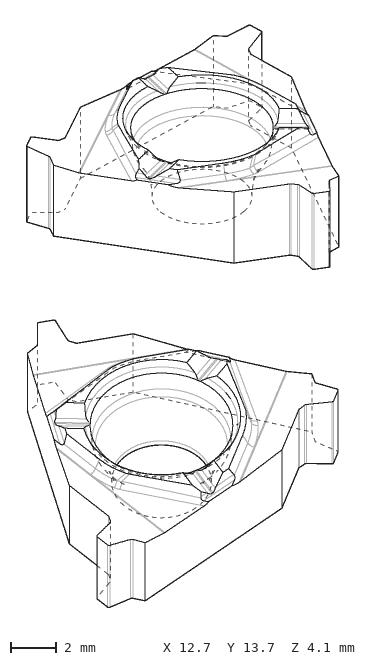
import cadquery as cq
import math

CORNERS = 3
CORNER_STEP = 360 / CORNERS

SIDE_DISTANCE = 4.77
HEEL_DISTANCE = SIDE_DISTANCE / math.cos(math.radians(CORNER_STEP / 4))
SHOULDER_LEFT = (-SIDE_DISTANCE, 5.41)
ROOT_LEFT = (-4.25, 5.73)
TIP_LEFT = (-3.98, 6.87)
TIP_RIGHT = (-3.2, 6.87)
ROOT_RIGHT = (-2.87, 5.7)
SHOULDER_RIGHT = (-2.54, HEEL_DISTANCE)
HEEL = (0, HEEL_DISTANCE)
TIP_RADIUS = 0.08
ROOT_RADIUS = 0.14

FLOOR_Z = 3.5
NOSE_LEDGE_Z = 3.59
TOP_Z = 4.1
STOCK_RADIUS = 9.62

RAKE_START = 4.26
RAKE_ANGLE = 10.0
BEND_LENGTH = 0.02

BOSS_FOOT_RADIUS = 4.04
BOSS_TOP_RADIUS = 3.71
FLANK_FOOT_DISTANCE = 3.92
FLANK_TOP_DISTANCE = 3.65
FLANK_FOOT_ANGLE = 121.4
FLANK_TOP_ANGLE = 123.4
BOSS_BEND_RADIUS = 0.69
BOSS_BEND_ANGLE = 109.0
FOOT_FILLET = 0.33
BOSS_REACH = 8.25
SELECTION_MARGIN = 0.01

NOSE_TOP_DISTANCE = 4.26
NOSE_FOOT_DISTANCE = 4.45
NOSE_FILLET = 0.19
NOSE_CUT_DEPTH = 1.37

GROOVE_ANGLE = 45.6
GROOVE_TOP_WIDTH = 1.54
GROOVE_BOTTOM_WIDTH = 0.27
GROOVE_BOTTOM_Z = 3.6
GROOVE_FILLET = 0.3
GROOVE_START = 2.75
GROOVE_LENGTH = 2.75

HOLE_RADIUS = 2.18
BORE_TOP = (HOLE_RADIUS, 0.27)
THROAT_TOP = (2.89, 2.34)
SEAT_BOTTOM = (3.04, 2.68)
SEAT_TOP = (3.12, 3.6)
RIM_FOOT = (3.34, 3.75)
RIM_TOP = (3.46, TOP_Z)


def turned(point, angle):
    """Turn a plan point about the hole axis."""
    x, y = point
    cosine = math.cos(math.radians(angle))
    sine = math.sin(math.radians(angle))
    return (x * cosine - y * sine, x * sine + y * cosine)


def polar(radius, angle):
    """Plan point at a radius and direction from the hole axis."""
    return turned((radius, 0), angle)


def line_crossing(angle_a, distance_a, angle_b, distance_b):
    """Crossing of two lines, each given by its normal angle and distance from the axis."""
    turn = math.radians(angle_b - angle_a)
    along = (distance_b - distance_a * math.cos(turn)) / math.sin(turn)
    return turned((distance_a, along), angle_a)


def at_corners(shape):
    """Copies of a shape at the three corners."""
    return [shape.rotate((0, 0, 0), (0, 0, 1), -i * CORNER_STEP) for i in range(CORNERS)]


def round_upright_edges(prism, corner_points, radius):
    """Round the vertical edges at the given plan points of every corner."""
    for point in corner_points:
        for i in range(CORNERS):
            x, y = turned(point, -i * CORNER_STEP)
            nearest = cq.NearestToPointSelector((x, y, TOP_Z / 2))
            prism = prism.edges("|Z").edges(nearest).fillet(radius)
    return prism


def outline_prism():
    """Insert outline with three cutting teeth, at full height."""
    tooth = [SHOULDER_LEFT, ROOT_LEFT, TIP_LEFT, TIP_RIGHT, ROOT_RIGHT, SHOULDER_RIGHT, HEEL]
    points = [turned(point, -i * CORNER_STEP) for i in range(CORNERS) for point in tooth]
    prism = cq.Workplane("XY").polyline(points).close().extrude(TOP_Z)
    prism = round_upright_edges(prism, [TIP_LEFT, TIP_RIGHT], TIP_RADIUS)
    return round_upright_edges(prism, [ROOT_LEFT, ROOT_RIGHT, SHOULDER_RIGHT], ROOT_RADIUS)


def boss_section(z, radius, flank_distance, flank_angle):
    """Closed boss section: per corner a straight front, a flank and an arc."""
    edges = []
    for i in range(CORNERS):
        front_angle = 90 - i * CORNER_STEP
        next_front_angle = front_angle - CORNER_STEP
        side_angle = flank_angle - (i + 1) * CORNER_STEP
        arc_angle = side_angle - math.degrees(math.acos(flank_distance / radius))
        plan_points = [
            polar(radius, front_angle),
            line_crossing(front_angle, radius, side_angle, flank_distance),
            polar(radius, arc_angle),
            polar(radius, (arc_angle + next_front_angle) / 2),
            polar(radius, next_front_angle),
        ]
        front, nose, arc_start, arc_middle, arc_end = [cq.Vector(x, y, z) for x, y in plan_points]
        edges.append(cq.Edge.makeLine(front, nose))
        edges.append(cq.Edge.makeLine(nose, arc_start))
        edges.append(cq.Edge.makeThreePointArc(arc_start, arc_middle, arc_end))
    return cq.Wire.assembleEdges(edges)


def stock_with_boss():
    """Oversize disc carrying the boss, with the boss foot filleted."""
    foot = boss_section(FLOOR_Z, BOSS_FOOT_RADIUS, FLANK_FOOT_DISTANCE, FLANK_FOOT_ANGLE)
    top = boss_section(TOP_Z, BOSS_TOP_RADIUS, FLANK_TOP_DISTANCE, FLANK_TOP_ANGLE)
    boss = cq.Workplane(cq.Solid.makeLoft([foot, top], True))
    middle_radius = (BOSS_FOOT_RADIUS + BOSS_TOP_RADIUS) / 2
    for i in range(CORNERS):
        x, y = polar(middle_radius, BOSS_BEND_ANGLE - i * CORNER_STEP)
        nearest = cq.NearestToPointSelector((x, y, (FLOOR_Z + TOP_Z) / 2))
        boss = boss.edges(nearest).fillet(BOSS_BEND_RADIUS)
    stock = cq.Workplane("XY").circle(STOCK_RADIUS).extrude(FLOOR_Z).union(boss)
    foot_edges = cq.selectors.BoxSelector(
        (-BOSS_REACH, -BOSS_REACH, FLOOR_Z - SELECTION_MARGIN),
        (BOSS_REACH, BOSS_REACH, FLOOR_Z + SELECTION_MARGIN),
        boundingbox=True,
    )
    return stock.edges(foot_edges).fillet(FOOT_FILLET)


def nose_cutter():
    """Cuts the boss nose back along one long side, leaving a ledge."""
    outer = NOSE_FOOT_DISTANCE + NOSE_CUT_DEPTH
    profile = [
        (NOSE_TOP_DISTANCE, TOP_Z),
        (NOSE_FOOT_DISTANCE, NOSE_LEDGE_Z),
        (outer, NOSE_LEDGE_Z),
        (outer, TOP_Z),
    ]
    cutter = cq.Workplane("XZ").polyline(profile).close().extrude(STOCK_RADIUS / 2, both=True)
    foot = cq.NearestToPointSelector((NOSE_FOOT_DISTANCE, 0, NOSE_LEDGE_Z))
    cutter = cutter.edges("|Y").edges(foot).fillet(NOSE_FILLET)
    return cutter.rotate((0, 0, 0), (0, 0, 1), CORNER_STEP / 2)


def groove_cutter():
    """V-groove with a rounded bottom, running outward from the hole."""
    profile = [
        (-GROOVE_TOP_WIDTH / 2, TOP_Z),
        (-GROOVE_BOTTOM_WIDTH / 2, GROOVE_BOTTOM_Z),
        (GROOVE_BOTTOM_WIDTH / 2, GROOVE_BOTTOM_Z),
        (GROOVE_TOP_WIDTH / 2, TOP_Z),
    ]
    cutter = cq.Workplane("YZ", origin=(GROOVE_START, 0, 0)).polyline(profile).close().extrude(GROOVE_LENGTH)
    cutter = cutter.faces("<Z").edges("|X").fillet(GROOVE_FILLET)
    return cutter.rotate((0, 0, 0), (0, 0, 1), GROOVE_ANGLE)


def rake_wedge():
    """Rising rake face of the +Y corner, joined to the land by a rounded bend."""
    angle = math.radians(RAKE_ANGLE)
    bend_start = (RAKE_START - BEND_LENGTH, FLOOR_Z)
    bend_end = (RAKE_START + BEND_LENGTH * math.cos(angle), FLOOR_Z + BEND_LENGTH * math.sin(angle))
    outer_z = FLOOR_Z + (STOCK_RADIUS - RAKE_START) * math.tan(angle)
    return (
        cq.Workplane("YZ")
        .moveTo(bend_start[0], 0)
        .lineTo(STOCK_RADIUS, 0)
        .lineTo(STOCK_RADIUS, outer_z)
        .lineTo(*bend_end)
        .tangentArcPoint(bend_start, relative=False)
        .close()
        .extrude(STOCK_RADIUS, both=True)
    )


def hole_cutter():
    """Straight bore, flared throat, screw-head seat and conical rim."""
    run = THROAT_TOP[0] - BORE_TOP[0]
    rise = THROAT_TOP[1] - BORE_TOP[1]
    throat_radius = (run**2 + rise**2) / (2 * run)
    half_angle = math.asin(rise / throat_radius) / 2
    throat_middle = (
        BORE_TOP[0] + throat_radius * (1 - math.cos(half_angle)),
        BORE_TOP[1] + throat_radius * math.sin(half_angle),
    )
    return (
        cq.Workplane("XZ")
        .moveTo(0, TOP_Z)
        .lineTo(*RIM_TOP)
        .lineTo(*RIM_FOOT)
        .tangentArcPoint(SEAT_TOP, relative=False)
        .lineTo(*SEAT_BOTTOM)
        .tangentArcPoint(THROAT_TOP, relative=False)
        .threePointArc(throat_middle, BORE_TOP)
        .lineTo(HOLE_RADIUS, 0)
        .lineTo(0, 0)
        .close()
        .revolve(360, (0, 0, 0), (0, 1, 0))
    )


insert = stock_with_boss()
for cutter in at_corners(nose_cutter()) + at_corners(groove_cutter()):
    insert = insert.cut(cutter)
for wedge in at_corners(rake_wedge()):
    insert = insert.union(wedge)
result = insert.cut(hole_cutter()).intersect(outline_prism())